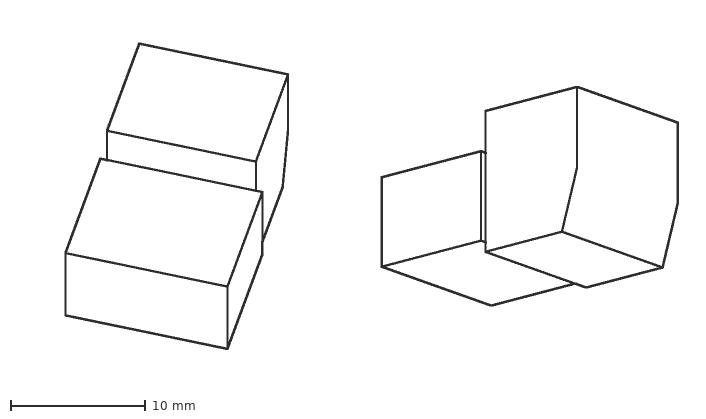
import cadquery as cq

total_length = 18.75

front_width = 12.5
front_height = 7.0
front_lift = 0.75

rear_width = 11.5
rear_length = 9.0
rear_height = 11.0
slope_depth = 1.5
slope_height = 4.75

joint_y = total_length - rear_length


def make_front_block():
    """Rectangular block from the front face back to the joint plane."""
    return (
        cq.Workplane("XY")
        .box(front_width, joint_y, front_height, centered=(True, False, False))
        .translate((0, 0, front_lift))
    )


def make_rear_block():
    """Side profile in the YZ plane, extruded evenly to both sides along X."""
    return (
        cq.Workplane("YZ")
        .moveTo(joint_y, 0)
        .lineTo(total_length - slope_depth, 0)
        .lineTo(total_length, slope_height)
        .lineTo(total_length, rear_height)
        .lineTo(joint_y, rear_height)
        .close()
        .extrude(rear_width / 2, both=True)
    )


front_block = make_front_block()
rear_block = make_rear_block()

result = cq.Compound.makeCompound([front_block.val(), rear_block.val()])